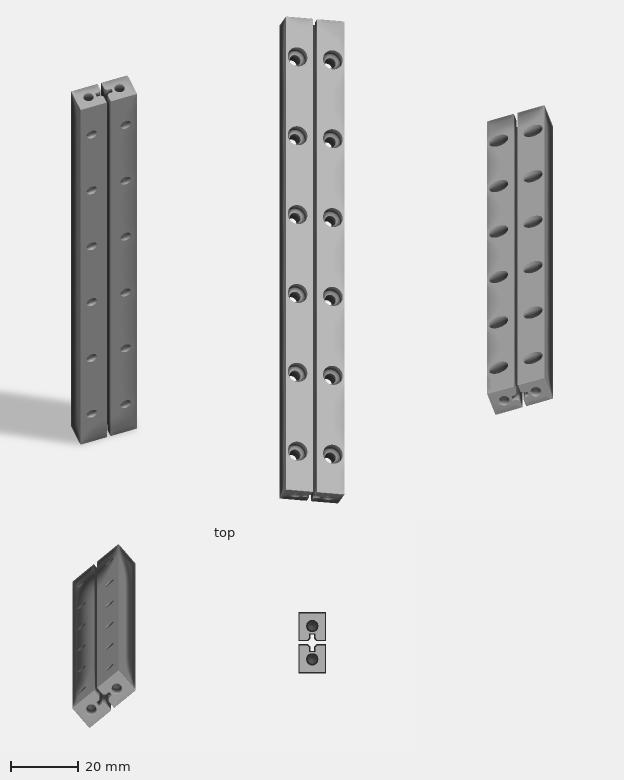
import cadquery as cq
import math

LENGTH = 150.0
PAIR_WIDTH = 18.0
THICKNESS = 8.0
RAIL_GAP = 1.2

END_CHAMFER = 0.1

GROOVE_MOUTH_WIDTH = 2.7
RELIEF_WIDTH = 1.4
RELIEF_BOTTOM = 2.5

SCREW_COUNT = 6
SCREW_PITCH = LENGTH / SCREW_COUNT
SCREW_DIAMETER = 3.3
COUNTERBORE_DIAMETER = 6.0
COUNTERBORE_DEPTH = 3.2
SCREW_OFFSET = 5.4

END_HOLE_DIAMETER = 3.0
END_COUNTERSINK_DIAMETER = 3.3
END_HOLE_DEPTH = 6.0
END_HOLE_OFFSET = 5.0
DRILL_POINT_ANGLE = 90.0

OUTER_FACE = PAIR_WIDTH / 2
INNER_FACE = RAIL_GAP / 2
HALF_THICKNESS = THICKNESS / 2
HALF_LENGTH = LENGTH / 2


def rail_blank():
    """Grooved bar with chamfered ends on the +Y side of the mid plane, running along Z."""
    mouth = GROOVE_MOUTH_WIDTH / 2
    relief = RELIEF_WIDTH / 2
    relief_top = INNER_FACE + mouth - relief
    return (
        cq.Workplane("XY")
        .workplane(offset=-HALF_LENGTH)
        .polyline([
            (-HALF_THICKNESS, OUTER_FACE),
            (-HALF_THICKNESS, INNER_FACE),
            (-mouth, INNER_FACE),
            (-relief, relief_top),
            (-relief, RELIEF_BOTTOM),
            (relief, RELIEF_BOTTOM),
            (relief, relief_top),
            (mouth, INNER_FACE),
            (HALF_THICKNESS, INNER_FACE),
            (HALF_THICKNESS, OUTER_FACE),
        ])
        .close()
        .extrude(LENGTH)
        .faces("<Z or >Z")
        .chamfer(END_CHAMFER)
    )


def screw_hole(z):
    """Through hole along X with its counterbore in the -X face."""
    start = cq.Vector(-HALF_THICKNESS, SCREW_OFFSET, z)
    along_x = cq.Vector(1, 0, 0)
    bore = cq.Solid.makeCylinder(SCREW_DIAMETER / 2, THICKNESS, start, along_x)
    counterbore = cq.Solid.makeCylinder(COUNTERBORE_DIAMETER / 2, COUNTERBORE_DEPTH, start, along_x)
    return bore.fuse(counterbore)


def end_hole(end):
    """Blind countersunk hole with a drill point, in the top (end = 1) or bottom (end = -1) of the rail."""
    radius = END_HOLE_DIAMETER / 2
    point_depth = radius / math.tan(math.radians(DRILL_POINT_ANGLE / 2))
    inward = cq.Vector(0, 0, -end)
    start = cq.Vector(0, END_HOLE_OFFSET, end * HALF_LENGTH)
    bore = cq.Solid.makeCylinder(radius, END_HOLE_DEPTH, start, inward)
    point = cq.Solid.makeCone(radius, 0, point_depth, start + inward * END_HOLE_DEPTH, inward)
    rim_radius = END_COUNTERSINK_DIAMETER / 2
    countersink = cq.Solid.makeCone(rim_radius, radius, rim_radius - radius, start, inward)
    return bore.fuse(point, countersink)


def make_rail():
    """Complete rail on the +Y side."""
    rail = rail_blank()
    for index in range(SCREW_COUNT):
        rail = rail.cut(cq.Workplane(screw_hole(-HALF_LENGTH + (index + 0.5) * SCREW_PITCH)))
    for end in (1, -1):
        rail = rail.cut(cq.Workplane(end_hole(end)))
    return rail


back_rail = make_rail()
front_rail = back_rail.mirror("XZ")

result = cq.Compound.makeCompound([back_rail.val(), front_rail.val()])